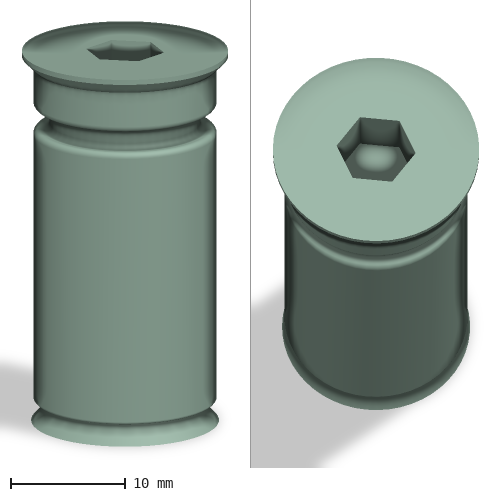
import cadquery as cq

total_height = 33.59
body_radius = 8.0

head_radius = 9.0
rim_height = 0.45
head_cone_height = head_radius - body_radius

collar_height = 3.64
groove_radius = 6.6
groove_width = 1.9
groove_fillet = 0.5

bottom_fillet = 0.25

socket_across_flats = 6.0
socket_depth = 5.0

foot_height = 1.91
foot_base_radius = 8.2
foot_top_radius = 6.45

head_bottom = total_height - rim_height - head_cone_height
groove_top = head_bottom - collar_height
groove_bottom = groove_top - groove_width


def turned_body():
    """Head, collar, groove neck and sleeve turned from one outline in the XZ plane."""
    outline = (
        cq.Workplane("XZ")
        .moveTo(0, foot_height)
        .lineTo(body_radius - bottom_fillet, foot_height)
        .radiusArc((body_radius, foot_height + bottom_fillet), -bottom_fillet)
        .lineTo(body_radius, groove_bottom - groove_fillet)
        .radiusArc((body_radius - groove_fillet, groove_bottom), -groove_fillet)
        .lineTo(groove_radius + groove_fillet, groove_bottom)
        .radiusArc((groove_radius, groove_bottom + groove_fillet), groove_fillet)
        .lineTo(groove_radius, groove_top - groove_fillet)
        .radiusArc((groove_radius + groove_fillet, groove_top), groove_fillet)
        .lineTo(body_radius - groove_fillet, groove_top)
        .radiusArc((body_radius, groove_top + groove_fillet), -groove_fillet)
        .lineTo(body_radius, head_bottom)
        .lineTo(head_radius, total_height - rim_height)
        .lineTo(head_radius, total_height)
        .lineTo(0, total_height)
        .close()
    )
    return outline.revolve(360, (0, 0, 0), (0, 1, 0))


def hex_socket():
    return (
        cq.Workplane("XY")
        .workplane(offset=total_height - socket_depth)
        .polygon(6, socket_across_flats, circumscribed=True)
        .extrude(socket_depth)
    )


body = turned_body().cut(hex_socket())
foot = cq.Workplane(obj=cq.Solid.makeCone(foot_base_radius, foot_top_radius, foot_height))

result = cq.Compound.makeCompound([body.val(), foot.val()])